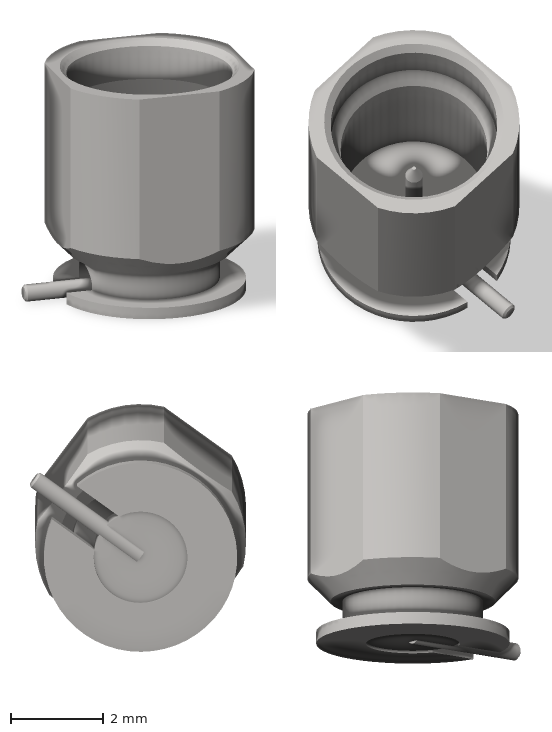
import cadquery as cq

across_flats = 4.19
body_radius = 2.285
overall_height = 5.08
body_bottom = 0.93
body_end_radius = 1.79
body_cone_height = 0.505

neck_radius = 1.525
flange_radius = across_flats / 2
flange_thickness = 0.26

mouth_radius = 1.945
bore_radius = 1.805
inner_radius = 1.59
mouth_chamfer = mouth_radius - bore_radius
bore_depth = 0.895
step_end_depth = 1.22
socket_floor = body_bottom + body_cone_height

pin_radius = 0.19
contact_tip_radius = 0.04
contact_tip_height = 0.305
contact_top = 3.05
lead_reach = 2.87
lead_chamfer = 0.045

opening_width = 0.915
opening_top = 0.76
core_radius = 1.015
core_recess = 0.055


def revolve_profile(points):
    """Turn an (r, z) outline about the Z axis."""
    return cq.Workplane("XZ").polyline(points).close().revolve(360, (0, 0), (0, 1))


def make_body():
    height = overall_height - body_bottom
    turned = revolve_profile([
        (0, body_bottom),
        (body_end_radius, body_bottom),
        (body_radius, body_bottom + body_cone_height),
        (body_radius, overall_height),
        (0, overall_height),
    ])
    flats = (
        cq.Workplane("XY")
        .workplane(offset=body_bottom)
        .rect(across_flats, across_flats)
        .extrude(height)
    )
    return turned.intersect(flats)


def make_base():
    return revolve_profile([
        (0, 0),
        (flange_radius, 0),
        (flange_radius, flange_thickness),
        (neck_radius, flange_thickness),
        (neck_radius, body_bottom),
        (0, body_bottom),
    ])


def make_socket():
    return revolve_profile([
        (0, socket_floor),
        (inner_radius, socket_floor),
        (inner_radius, overall_height - step_end_depth),
        (bore_radius, overall_height - bore_depth),
        (bore_radius, overall_height - mouth_chamfer),
        (mouth_radius, overall_height),
        (0, overall_height),
    ])


def make_opening():
    """Round-topped passage from the front of the flange to the part's axis."""
    half_width = opening_width / 2
    arch_start = opening_top - half_width
    return (
        cq.Workplane("XZ")
        .moveTo(-half_width, 0)
        .lineTo(half_width, 0)
        .lineTo(half_width, arch_start)
        .threePointArc((0, opening_top), (-half_width, arch_start))
        .close()
        .extrude(flange_radius)
    )


def make_core(bottom):
    """Cylinder on the axis, from the given height up into the body."""
    return cq.Workplane("XY").workplane(offset=bottom).circle(core_radius).extrude(body_bottom - bottom)


def make_contact():
    return revolve_profile([
        (0, socket_floor),
        (pin_radius, socket_floor),
        (pin_radius, contact_top - contact_tip_height),
        (contact_tip_radius, contact_top),
        (0, contact_top),
    ])


def make_lead():
    return (
        cq.Workplane("XZ", origin=(0, 0, pin_radius))
        .circle(pin_radius)
        .extrude(lead_reach)
        .faces("<Y")
        .chamfer(lead_chamfer)
    )


shell = make_body().union(make_base()).cut(make_socket()).cut(make_opening()).cut(make_core(0))
result = shell.union(make_core(core_recess)).union(make_contact()).union(make_lead())